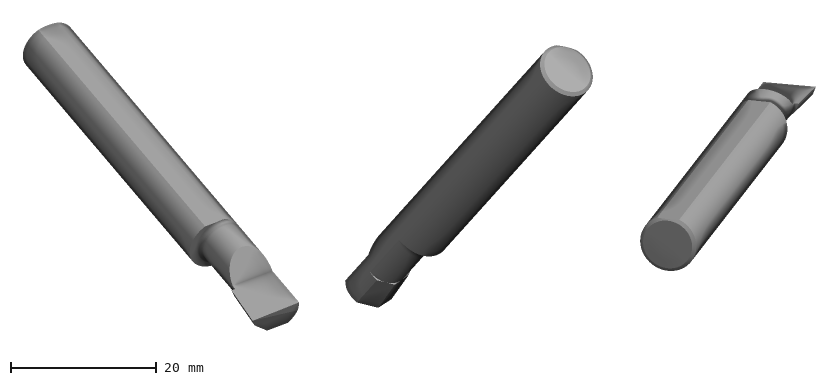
import cadquery as cq
import math

total_length = 63.5
shank_radius = 4.0
shank_length = 46.9
flat_height = 3.7
rear_chamfer_length = 0.3
rear_chamfer_depth = 0.5

neck_radius = 3.25
neck_offset = 0.95
neck_fillet = 0.5

ramp_end = 55.9
tip_start = 56.6
edge_start_y = -2.85
edge_end_y = -3.4
land_height = 1.15
land_setback = 0.4
relief_run = neck_radius - land_height
end_clearance = 0.45
end_skew = 0.2


def bar(radius, start, end):
    """Cylinder along X between two stations."""
    return cq.Workplane("YZ", origin=(start, 0, 0)).circle(radius).extrude(end - start)


def make_shank():
    profile = [
        (0, 0),
        (0, shank_radius - rear_chamfer_depth),
        (rear_chamfer_length, shank_radius),
        (shank_length, shank_radius),
        (shank_length, 0),
    ]
    body = cq.Workplane("XY").polyline(profile).close().revolve(360, (0, 0, 0), (1, 0, 0))
    above_flat = cq.Workplane("XY").box(
        shank_length, 2 * shank_radius, shank_radius, centered=(False, True, False)
    )
    return body.cut(above_flat.translate((0, 0, flat_height)))


def make_neck():
    """Neck with a concave fillet at its root and a ramp down to the rake face."""
    fillet_end = shank_length + neck_fillet
    fillet_top = neck_radius + neck_fillet
    arc_inset = neck_fillet * (1 - math.sqrt(0.5))
    body = (
        cq.Workplane("XY", origin=(0, neck_offset, 0))
        .moveTo(shank_length, 0)
        .lineTo(shank_length, fillet_top)
        .threePointArc((shank_length + arc_inset, neck_radius + arc_inset), (fillet_end, neck_radius))
        .lineTo(tip_start, neck_radius)
        .lineTo(tip_start, 0)
        .close()
        .revolve(360, (0, 0, 0), (1, 0, 0))
    )
    above_ramp = (
        cq.Workplane("XZ")
        .polyline([
            (ramp_end, 0),
            (ramp_end - shank_radius, shank_radius),
            (total_length, shank_radius),
            (total_length, 0),
        ])
        .close()
        .extrude(shank_radius, both=True)
    )
    return body.intersect(bar(shank_radius, shank_length, total_length)).cut(above_ramp)


def make_tip():
    """Tapered tip whose end face leans back below and away from the cutting corner."""
    section = [
        (2 * shank_radius, 0),
        (0, 0),
        (land_setback, -land_height),
        (land_setback + relief_run, -neck_radius),
        (2 * shank_radius, -neck_radius),
    ]
    edge_run = total_length - tip_start
    edge_drop = edge_start_y - edge_end_y
    across_edge = cq.Plane(
        origin=(tip_start, edge_start_y, 0),
        xDir=(edge_drop, edge_run, 0),
        normal=(edge_run, -edge_drop, 0),
    )
    body = cq.Workplane(across_edge).polyline(section).close().extrude(2 * edge_run, both=True)
    skewed_end = (
        cq.Workplane("XY")
        .polyline([
            (tip_start, edge_end_y),
            (total_length, edge_end_y),
            (total_length - end_skew, shank_radius),
            (tip_start, shank_radius),
        ])
        .close()
        .extrude(-neck_radius)
    )
    leaning_end = (
        cq.Workplane("XZ")
        .polyline([
            (tip_start, 0),
            (total_length, 0),
            (total_length - end_clearance, -neck_radius),
            (tip_start, -neck_radius),
        ])
        .close()
        .extrude(shank_radius, both=True)
    )
    envelope = bar(shank_radius, tip_start, total_length)
    return body.intersect(envelope).intersect(skewed_end).intersect(leaning_end)


result = make_shank().union(make_neck()).union(make_tip()).clean()